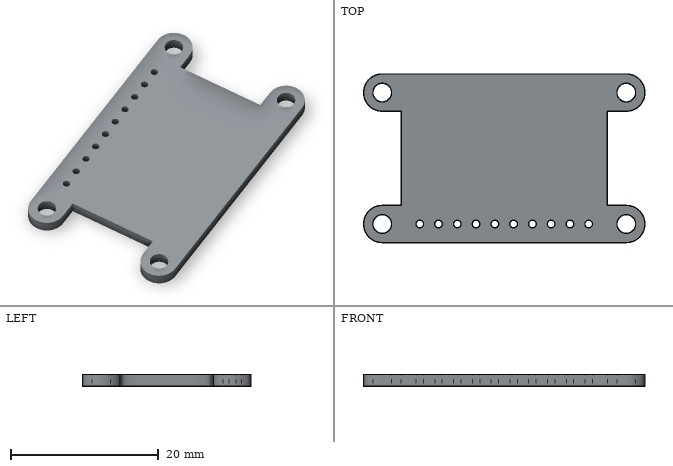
import cadquery as cq

pitch = 2.54
length = 38.1
width = 22.86
thickness = 1.62
mount_hole_diameter = 2.5
pin_hole_diameter = 1.0
pin_count = 10

ear_radius = pitch
ear_width = 2 * ear_radius
body_length = length - 2 * ear_width
mount_spacing_x = length - 2 * ear_radius
mount_spacing_y = width - 2 * ear_radius
pin_row_y = -mount_spacing_y / 2


def make_ear_bar(center_y):
    """Round-ended bar that carries the two mounting ears of one long edge."""
    return (
        cq.Workplane("XY")
        .center(0, center_y)
        .slot2D(length, ear_width)
        .extrude(thickness)
    )


def make_board():
    """Rectangular body joined to an ear bar along each long edge."""
    board = cq.Workplane("XY").rect(body_length, width).extrude(thickness)
    for side in (-1, 1):
        board = board.union(make_ear_bar(side * mount_spacing_y / 2))
    return board.clean()


def cut_mount_holes(board):
    """Through hole at the centre of each ear."""
    return (
        board.faces(">Z")
        .workplane(origin=(0, 0, thickness))
        .rect(mount_spacing_x, mount_spacing_y, forConstruction=True)
        .vertices()
        .hole(mount_hole_diameter)
    )


def cut_pin_holes(board):
    """Row of header pin holes, in line with the front mounting holes."""
    return (
        board.faces(">Z")
        .workplane(origin=(0, pin_row_y, thickness))
        .rarray(pitch, pitch, pin_count, 1)
        .hole(pin_hole_diameter)
    )


result = cut_pin_holes(cut_mount_holes(make_board()))